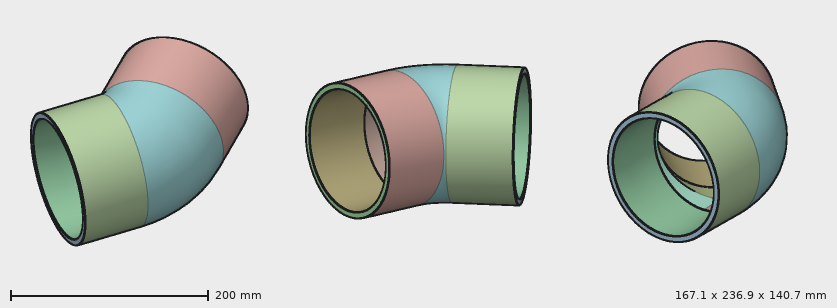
import cadquery as cq
import math

bend_angle = 45.0
outer_diameter = 140.7
crotch_radius = 2.5
arm_length = 69.2
socket_mouth_diameter = 126.7
socket_base_diameter = 125.0
bend_bore_diameter = 123.2
edge_chamfer = 0.7

outer_radius = outer_diameter / 2
bend_radius = outer_radius + crotch_radius
half_angle = bend_angle / 2
half_angle_radians = math.radians(half_angle)


def bend(diameter):
    """Torus sector bent about the Z axis, symmetric about the XZ plane."""
    return (
        cq.Workplane("XZ")
        .center(bend_radius, 0)
        .circle(diameter / 2)
        .revolve(bend_angle, (-bend_radius, 0), (-bend_radius, 1))
        .rotate((0, 0, 0), (0, 0, 1), -half_angle)
    )


def arm_section(offset=0.0):
    """Workplane across the +Y arm, at a distance beyond the end of the bend."""
    radial = cq.Vector(math.cos(half_angle_radians), math.sin(half_angle_radians), 0)
    along = cq.Vector(-math.sin(half_angle_radians), math.cos(half_angle_radians), 0)
    origin = radial * bend_radius + along * offset
    return cq.Workplane(cq.Plane(origin=origin, xDir=radial, normal=along))


def frustum(start, start_diameter, length, end_diameter):
    """Cone frustum on the arm axis."""
    return (
        arm_section(start)
        .circle(start_diameter / 2)
        .workplane(offset=length)
        .circle(end_diameter / 2)
        .loft()
    )


def both_arms(shape):
    """The shape on the +Y arm joined with its mirror image on the -Y arm."""
    return shape.union(shape.mirror("XZ"))


def arm():
    """Outer cylinder of the +Y arm with its open end chamfered."""
    section = arm_section()
    open_end = cq.selectors.DirectionMinMaxSelector(section.plane.zDir)
    cylinder = section.circle(outer_diameter / 2).extrude(arm_length)
    return cylinder.faces(open_end).chamfer(edge_chamfer)


def socket():
    """Tapered socket with a chamfered mouth."""
    taper = frustum(0, socket_base_diameter, arm_length, socket_mouth_diameter)
    mouth = frustum(
        arm_length - edge_chamfer, socket_mouth_diameter,
        edge_chamfer, socket_mouth_diameter + 2 * edge_chamfer,
    )
    return taper.union(mouth)


def bend_bore():
    """Bend bore whose crotch side is a mitre of the two straight arm bores."""
    reach = 2 * outer_diameter
    straight = arm_section().circle(bend_bore_diameter / 2).extrude(-reach)
    upper_half = cq.Workplane("XY").box(2 * reach, reach, reach, centered=(True, False, True))
    mitre = both_arms(straight.intersect(upper_half))
    return bend(bend_bore_diameter).intersect(mitre)


outside = bend(outer_diameter).union(both_arms(arm()))
result = outside.cut(bend_bore()).cut(both_arms(socket()))